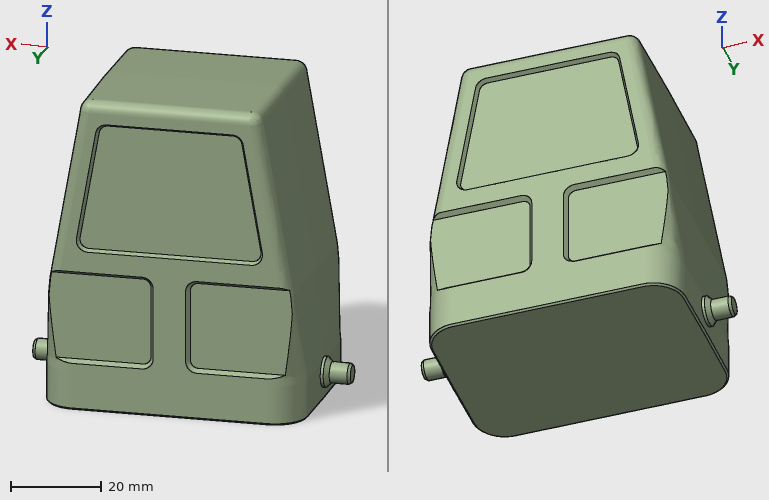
import cadquery as cq
import math

total_length = 72.6
total_width = 43.0
total_height = 72.0
half_width = total_width / 2

base_half_length = 29.7
base_radius = 7.4
base_height = 9.0
base_chamfer = 0.4
corner_blend_start = 10.9
corner_blend_end = 26.0
upper_radius = 2.55
lower_slope = math.radians(5)
upper_slope = math.radians(10)
knee_bottom = 29.6
knee_top = 30.2
end_ridge = 0.15
roof_drop = 0.2
roof_radius = 2.55
ridge_clearance = 0.7

window_bottom = 36.95
window_top = 66.95
window_half_bottom = 21.8
window_depth = 1.0
window_wall_inset = 0.6
window_radius = 2.6

recess_inner_x = 3.7
recess_bottom = 10.8
recess_top = 32.15
recess_depth = 1.15
recess_wall_inset = 0.8
recess_radius = 2.6

pin_height = 6.4
pin_diameter = 4.8
pin_tip_diameter = 4.0
pin_tip_length = 0.65
collar_diameter = 7.0
collar_length = 0.65
collar_cone_length = 1.1


def rounded_section(z, half_length, radius):
    """Closed wire at height z: rectangle with rounded corners and slightly peaked ends."""
    y_tangent = half_width - radius
    x_tangent = half_length - radius
    x_end = half_length + end_ridge * radius / half_width
    arc_offset = radius * math.sqrt(0.5)
    x_arc = x_tangent + arc_offset
    y_arc = y_tangent + arc_offset
    return (
        cq.Workplane("XY", origin=(0, 0, z))
        .moveTo(half_length + end_ridge, 0)
        .lineTo(x_end, y_tangent)
        .threePointArc((x_arc, y_arc), (x_tangent, half_width))
        .lineTo(-x_tangent, half_width)
        .threePointArc((-x_arc, y_arc), (-x_end, y_tangent))
        .lineTo(-half_length - end_ridge, 0)
        .lineTo(-x_end, -y_tangent)
        .threePointArc((-x_arc, -y_arc), (-x_tangent, -half_width))
        .lineTo(x_tangent, -half_width)
        .threePointArc((x_arc, -y_arc), (x_end, -y_tangent))
        .close()
        .wire()
        .val()
    )


def half_length_at(z):
    """Half length of the end faces' side edges at height z."""
    lower_rise = min(max(z - base_height, 0), knee_bottom - base_height)
    knee_rise = min(max(z - knee_bottom, 0), knee_top - knee_bottom)
    upper_rise = max(z - knee_top, 0)
    knee_slope = (lower_slope + upper_slope) / 2
    return (
        base_half_length
        - lower_rise * math.tan(lower_slope)
        - knee_rise * math.tan(knee_slope)
        - upper_rise * math.tan(upper_slope)
    )


def shell():
    levels = [
        (0, base_radius),
        (base_height, base_radius),
        (corner_blend_start, base_radius),
        (corner_blend_end, upper_radius),
        (knee_bottom, upper_radius),
        (knee_top, upper_radius),
        (total_height, upper_radius),
    ]
    wires = [rounded_section(z, half_length_at(z), r) for z, r in levels]
    body = cq.Workplane(cq.Solid.makeLoft(wires, True))
    roof = (
        cq.Workplane("YZ")
        .moveTo(-half_width, 0)
        .lineTo(-half_width, total_height - roof_drop)
        .lineTo(0, total_height)
        .lineTo(half_width, total_height - roof_drop)
        .lineTo(half_width, 0)
        .close()
        .extrude(total_length / 2, both=True)
    )
    body = body.intersect(roof)
    rim = body.edges().filter(lambda edge: is_roof_rim(edge.Center()))
    body = rim.fillet(roof_radius)
    return body.faces("<Z").chamfer(base_chamfer)


def is_roof_rim(point):
    """True for the edges around the roof, but not for its ridge."""
    return point.z > total_height - 2 * roof_drop and abs(point.y) > ridge_clearance


def recess_cutter(corners, depth, wall_inset, radius):
    """Rounded pocket in the -Y side whose walls lean inwards by wall_inset over the depth."""
    wall_angle = math.degrees(math.atan(wall_inset / depth))
    return (
        cq.Workplane("XZ", origin=(0, -half_width, 0))
        .sketch()
        .polygon(corners + corners[:1])
        .vertices()
        .fillet(radius)
        .finalize()
        .extrude(-depth, taper=wall_angle)
    )


def upper_window():
    window_half_top = window_half_bottom - (window_top - window_bottom) * math.tan(upper_slope)
    corners = [
        (-window_half_bottom, window_bottom),
        (window_half_bottom, window_bottom),
        (window_half_top, window_top),
        (-window_half_top, window_top),
    ]
    return recess_cutter(corners, window_depth, window_wall_inset, window_radius)


def lower_recess():
    outer_x = total_length / 2
    corners = [
        (recess_inner_x, recess_bottom),
        (outer_x, recess_bottom),
        (outer_x, recess_top),
        (recess_inner_x, recess_top),
    ]
    return recess_cutter(corners, recess_depth, recess_wall_inset, recess_radius)


def locking_pin():
    """Pin on the +X end: collar, cone and a shank with a narrowed tip."""
    collar_end = base_half_length + end_ridge + collar_length
    cone_end = collar_end + collar_cone_length
    tip = total_length / 2
    return (
        cq.Workplane("XY", origin=(0, 0, pin_height))
        .moveTo(0, 0)
        .lineTo(0, collar_diameter / 2)
        .lineTo(collar_end, collar_diameter / 2)
        .lineTo(cone_end, pin_diameter / 2)
        .lineTo(tip - pin_tip_length, pin_diameter / 2)
        .lineTo(tip, pin_tip_diameter / 2)
        .lineTo(tip, 0)
        .close()
        .revolve(360, (0, 0, 0), (1, 0, 0))
    )


result = shell()
right_recess = lower_recess()
for cutter in (upper_window(), right_recess, right_recess.mirror("YZ")):
    result = result.cut(cutter).cut(cutter.mirror("XZ"))
pin = locking_pin()
result = result.union(pin).union(pin.mirror("YZ")).clean()